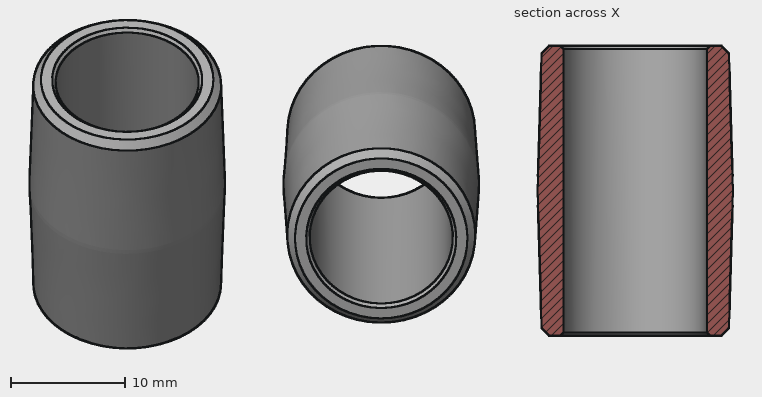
import cadquery as cq

length = 25.4
middle_diameter = 17.15
end_diameter = 16.45
band_width = 0.45
outer_chamfer = 0.69
bore_diameter = 12.52
bore_chamfer = 0.3

middle_radius = middle_diameter / 2
end_radius = end_diameter / 2
bore_radius = bore_diameter / 2
half_length = length / 2
half_band = band_width / 2
shoulder_height = half_length - outer_chamfer


def make_sleeve_body():
    """Solid of revolution: two tapers meeting at a narrow cylindrical band."""
    profile = (
        cq.Workplane("XZ")
        .moveTo(0, -half_length)
        .lineTo(end_radius - outer_chamfer, -half_length)
        .lineTo(end_radius, -shoulder_height)
        .lineTo(middle_radius, -half_band)
        .lineTo(middle_radius, half_band)
        .lineTo(end_radius, shoulder_height)
        .lineTo(end_radius - outer_chamfer, half_length)
        .lineTo(0, half_length)
        .close()
    )
    return profile.revolve(360, (0, 0, 0), (0, 1, 0))


def make_bore():
    """Through bore with a 45 degree chamfer at each mouth."""
    mouth_radius = bore_radius + bore_chamfer
    profile = (
        cq.Workplane("XZ")
        .moveTo(0, -half_length)
        .lineTo(mouth_radius, -half_length)
        .lineTo(bore_radius, -half_length + bore_chamfer)
        .lineTo(bore_radius, half_length - bore_chamfer)
        .lineTo(mouth_radius, half_length)
        .lineTo(0, half_length)
        .close()
    )
    return profile.revolve(360, (0, 0, 0), (0, 1, 0))


result = make_sleeve_body().cut(make_bore())